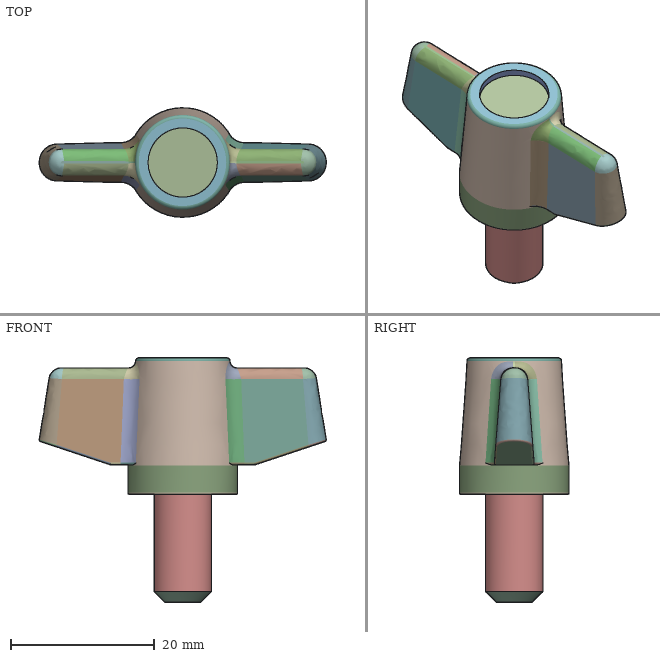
import cadquery as cq

collar_height = 4.0
wing_bottom = 4.1
wing_tip_bottom = 7.4
wing_top = 17.6
hub_top = 19.0

collar_diameter = 15.25
collar_edge_radius = 0.2
hub_top_radius = 6.55
hub_edge_radius = 0.5
recess_diameter = 9.62
recess_depth = 1.0

stud_diameter = 8.0
stud_length = 15.0
stud_chamfer = 1.5

wing_base_half_width = 2.8
wing_base_reach = 20.54
wing_top_half_width = 1.75
wing_top_reach = 18.36
wing_overall_reach = 19.965
wing_kink = 10.05
wing_top_edge_radius = 1.74
wing_bottom_edge_radius = 0.25

root_side_radius = 2.5
root_ridge_radius = 0.9

tolerance = 0.01


def make_hub(bottom):
    """Tapered hub from the given height up; the taper starts at the collar."""
    base_radius = collar_diameter / 2
    taper = (base_radius - hub_top_radius) / (hub_top - collar_height)
    bottom_radius = base_radius - taper * (bottom - collar_height)
    return (
        cq.Workplane("XZ")
        .moveTo(0, bottom)
        .lineTo(bottom_radius, bottom)
        .lineTo(hub_top_radius, hub_top)
        .lineTo(0, hub_top)
        .close()
        .revolve(360, (0, 0, 0), (0, 1, 0))
    )


def wing_section(plane, half_width, reach):
    """Level section of one wing: a strip from the hub axis with a round end."""
    end_centre = reach - half_width
    return (
        plane.moveTo(0, -half_width)
        .lineTo(end_centre, -half_width)
        .threePointArc((reach, 0), (end_centre, half_width))
        .lineTo(0, half_width)
        .close()
    )


def make_wing():
    """Wing on the +X side, with a rounded ridge and a rising underside."""
    base_plane = cq.Workplane("XY", origin=(0, 0, collar_height))
    base = wing_section(base_plane, wing_base_half_width, wing_base_reach)
    top_plane = base.workplane(offset=wing_top - collar_height)
    blade = wing_section(top_plane, wing_top_half_width, wing_top_reach).loft(ruled=True)

    slope = (wing_tip_bottom - wing_bottom) / (wing_overall_reach - wing_kink)
    underside_end = wing_bottom + slope * (wing_base_reach - wing_kink)
    side_outline = (
        cq.Workplane("XZ")
        .moveTo(0, wing_bottom)
        .lineTo(wing_kink, wing_bottom)
        .lineTo(wing_base_reach, underside_end)
        .lineTo(wing_base_reach, hub_top)
        .lineTo(0, hub_top)
        .close()
        .extrude(wing_base_half_width, both=True)
    )
    wing = blade.intersect(side_outline)
    return wing.faces(">Z").edges("not <X").fillet(wing_top_edge_radius)


def height_span(edge):
    """Height between the lowest and highest points of an edge."""
    box = edge.BoundingBox()
    return box.zmax - box.zmin


def blend_wing_roots(body):
    """Blend the wings into the hub, easing from the side radius to the ridge radius."""
    hub_face = max(body.faces("%CONE").vals(), key=lambda face: face.Area())
    side_span = (wing_top - wing_bottom) / 2
    side_edges = [
        edge
        for edge in hub_face.Edges()
        if edge.geomType() == "BSPLINE" and height_span(edge) > side_span
    ]
    right_seed = max(side_edges, key=lambda edge: edge.Center().x)
    left_seed = min(side_edges, key=lambda edge: edge.Center().x)

    builder = cq.occ_impl.shapes.BRepFilletAPI_MakeFillet(body.val().wrapped)
    for seed in (right_seed, left_seed):
        builder.Add(root_side_radius, seed.wrapped)

    for contour in range(1, builder.NbContours() + 1):
        edge_count = builder.NbEdges(contour)
        for index in range(1, edge_count + 1):
            span = height_span(cq.Edge(builder.Edge(contour, index)))
            if span > side_span:
                builder.SetRadius(root_side_radius, contour, index)
            elif span < tolerance:
                builder.SetRadius(root_ridge_radius, contour, index)
            elif index <= edge_count / 2:
                builder.SetRadius(root_side_radius, root_ridge_radius, contour, index)
            else:
                builder.SetRadius(root_ridge_radius, root_side_radius, contour, index)
    return cq.Workplane(cq.Shape.cast(builder.Shape()))


def round_underside(body):
    """Round the outline of the underside, leaving the kink lines sharp."""
    undersides = [face for face in body.faces("%PLANE").vals() if face.normalAt().z < 0]
    outline = [
        edge
        for face in undersides
        for edge in face.Edges()
        if edge.geomType() != "LINE"
    ]
    return body.newObject(outline).fillet(wing_bottom_edge_radius)


def make_collar():
    """Cylindrical collar with a rounded lower edge."""
    collar = cq.Workplane("XY").circle(collar_diameter / 2).extrude(collar_height)
    return collar.faces("<Z").edges().fillet(collar_edge_radius)


def make_stud():
    """Plain stud hanging below the collar, chamfered at its end."""
    stud = cq.Workplane("XY").circle(stud_diameter / 2).extrude(-stud_length)
    return stud.faces("<Z").edges().chamfer(stud_chamfer)


def finish_hub_top(body):
    """Round the hub rim and sink the round recess into its top."""
    rounded = body.faces(">Z").edges().fillet(hub_edge_radius)
    recess = (
        cq.Workplane("XY", origin=(0, 0, hub_top))
        .circle(recess_diameter / 2)
        .extrude(-recess_depth)
    )
    return rounded.cut(recess)


right_wing = make_wing()
left_wing = right_wing.rotate((0, 0, 0), (0, 0, 1), 180)
winged_hub = make_hub(wing_bottom).union(right_wing).union(left_wing)
rounded_head = round_underside(blend_wing_roots(winged_hub))
head = finish_hub_top(rounded_head.union(make_hub(collar_height)))
result = head.union(make_collar()).union(make_stud())